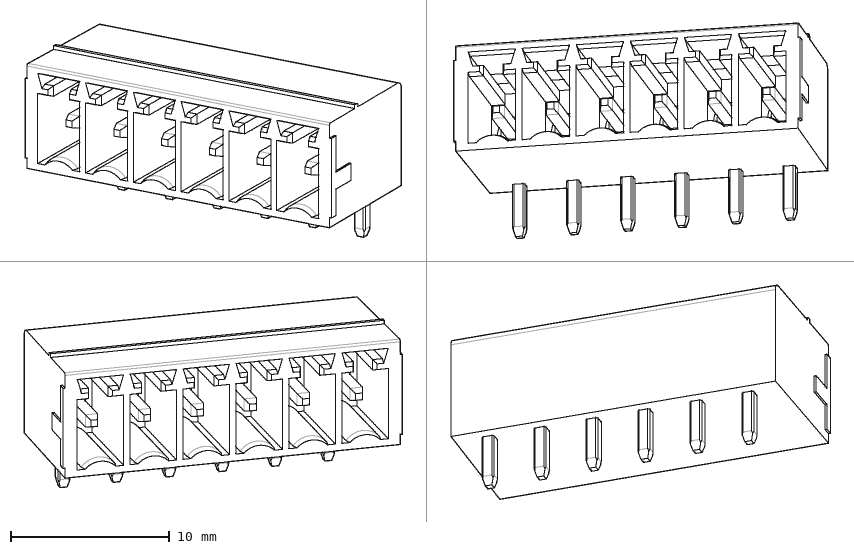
import cadquery as cq
import math

CONTACTS = 6
PITCH = 3.5
TOTAL_WIDTH = 22.4
DEPTH = 9.2
HEIGHT = 7.0
SIDE_DRAFT = 0.9

TAB_HEIGHT = 0.13
FRONT_WIDTH = TOTAL_WIDTH - 2 * TAB_HEIGHT
BACK_FILLET = 0.5
FRONT_FILLET = 0.13
RIDGE_FRONT = 3.23
RIDGE_WIDTH = 0.45
RIDGE_HEIGHT = 0.25
RIDGE_FILLET = 0.22
TAB_BOTTOM = 0.67
TAB_TOP = 6.0
TAB_DEPTH = 0.6
STEM_DEPTH = 2.5
STEM_HEIGHT = 1.15

PIN_Z = 3.0
PIN_SIZE = 0.8
PIN_TIP_Y = 1.3
LEG_Y = 8.05
LEG_BOTTOM = -3.4
LEG_CHAMFER = 0.11
TIP_SIZE = 0.45
TIP_LENGTH = 0.6

CAVITY_WIDTH = 3.07
CAVITY_DEPTH = 6.72
FLOOR = 0.47
LEAD_DEPTH = 0.45
LEAD_OFFSET = 0.15
MOUTH_CEILING = 5.15
LIP_TOP = 5.53
NECK_WIDTH = 1.6
INNER_CEILING = MOUTH_CEILING - LEAD_OFFSET
INNER_LIP_TOP = LIP_TOP + LEAD_OFFSET
INNER_NECK_WIDTH = NECK_WIDTH - 2 * LEAD_OFFSET

SLOT_CEILING = 6.5
INNER_SLOT_CEILING = SLOT_CEILING - LEAD_OFFSET
SLOT_TOP_WIDTH = 3.05
SLOT_BOTTOM_WIDTH = 2.46
SLOT_DEPTH = 4.48

RIB_RADIUS = 1.4
RIB_MOUTH_TOP = 0.9
RIB_INNER_TOP = 1.03

COLLAR_LENGTH = 0.31
COLLAR_BASE_RADIUS = 1.15
COLLAR_TIP_RADIUS = 0.85

contact_positions = [(i - (CONTACTS - 1) / 2) * PITCH for i in range(CONTACTS)]


def drafted_plan(front_width):
    """Tall prism whose plan narrows from the front to the back by the side draft."""
    front = front_width / 2
    back = front - DEPTH * math.tan(math.radians(SIDE_DRAFT))
    outline = [(-front, 0), (front, 0), (back, DEPTH), (-back, DEPTH)]
    return cq.Workplane("XY").polyline(outline).close().extrude(HEIGHT + RIDGE_HEIGHT)


def across_box(y0, y1, z0, z1):
    """Box over the whole width, between two depths and two heights."""
    base = cq.Workplane("XY", origin=(0, y0, z0))
    return base.box(TOTAL_WIDTH, y1 - y0, z1 - z0, centered=(True, False, False))


def housing_shell():
    """Solid outside shape: rounded block, ridge on top and T-shaped side tabs."""
    block = across_box(0, DEPTH, 0, HEIGHT)
    block = block.edges(">Y and >Z").fillet(BACK_FILLET)
    block = block.edges("<Y and >Z").fillet(FRONT_FILLET)

    ridge = across_box(RIDGE_FRONT, RIDGE_FRONT + RIDGE_WIDTH, HEIGHT, HEIGHT + RIDGE_HEIGHT)
    ridge = ridge.edges(">Y and >Z").fillet(RIDGE_FILLET)
    body = block.union(ridge).intersect(drafted_plan(FRONT_WIDTH))

    flange = across_box(0, TAB_DEPTH, TAB_BOTTOM, TAB_TOP)
    stem = across_box(0, STEM_DEPTH, PIN_Z - STEM_HEIGHT / 2, PIN_Z + STEM_HEIGHT / 2)
    tabs = flange.union(stem).intersect(drafted_plan(TOTAL_WIDTH))
    return body.union(tabs)


def trapezoid(bottom, bottom_width, top, top_width):
    """Corner points, in X and Z, of a symmetric trapezoid."""
    return [
        (-bottom_width / 2, bottom),
        (bottom_width / 2, bottom),
        (top_width / 2, top),
        (-top_width / 2, top),
    ]


def prism(outline, depth):
    """Extrude an X-Z outline from the mating face into the housing."""
    return cq.Workplane("XZ").polyline(outline).close().extrude(-depth)


def lead_in(mouth, inner):
    """Sloped mouth between the outline at the mating face and the inner outline."""
    return (
        cq.Workplane("XZ").polyline(mouth).close()
        .workplane(offset=-LEAD_DEPTH).polyline(inner).close()
        .loft(ruled=True)
    )


def main_recess():
    """Rectangular recess that takes the plug, with a sloped ceiling at its mouth."""
    inner = trapezoid(FLOOR, CAVITY_WIDTH, INNER_CEILING, CAVITY_WIDTH)
    mouth = trapezoid(FLOOR, CAVITY_WIDTH, MOUTH_CEILING, CAVITY_WIDTH)
    return prism(inner, CAVITY_DEPTH).union(lead_in(mouth, inner))


def neck():
    """Gap between the two lips, joining the main recess to the dovetail slot."""
    inner = trapezoid(PIN_Z, INNER_NECK_WIDTH, INNER_LIP_TOP, INNER_NECK_WIDTH)
    mouth = trapezoid(PIN_Z, NECK_WIDTH, INNER_LIP_TOP, NECK_WIDTH)
    return prism(inner, CAVITY_DEPTH).union(lead_in(mouth, inner))


def slot_width(z):
    """Width of the dovetail slot at a height, along its slanted sides."""
    rise = (z - LIP_TOP) / (SLOT_CEILING - LIP_TOP)
    return SLOT_BOTTOM_WIDTH + rise * (SLOT_TOP_WIDTH - SLOT_BOTTOM_WIDTH)


def dovetail_slot():
    """Slot above the lips, wider at the top, with a sloped floor and ceiling at its mouth."""
    inner = trapezoid(
        INNER_LIP_TOP, slot_width(INNER_LIP_TOP), INNER_SLOT_CEILING, slot_width(INNER_SLOT_CEILING)
    )
    mouth = trapezoid(LIP_TOP, SLOT_BOTTOM_WIDTH, SLOT_CEILING, SLOT_TOP_WIDTH)
    return prism(inner, SLOT_DEPTH).union(lead_in(mouth, inner))


def rib_section(plane, top):
    """Circular segment that stands on the cavity floor."""
    half = math.sqrt(RIB_RADIUS**2 - (RIB_RADIUS - (top - FLOOR)) ** 2)
    return plane.moveTo(-half, FLOOR).threePointArc((0, top), (half, FLOOR)).close()


def floor_rib():
    """Rounded rib along the cavity floor, lower at the mouth."""
    at_mouth = rib_section(cq.Workplane("XZ"), RIB_MOUTH_TOP)
    ramp = rib_section(at_mouth.workplane(offset=-LEAD_DEPTH), RIB_INNER_TOP).loft(ruled=True)
    inside = cq.Workplane("XZ", origin=(0, LEAD_DEPTH, 0))
    return rib_section(inside, RIB_INNER_TOP).extrude(LEAD_DEPTH - CAVITY_DEPTH).union(ramp)


def collar():
    """Cone around the pin, narrowing from the back wall toward the mouth."""
    return (
        cq.Workplane("XZ", origin=(0, CAVITY_DEPTH, PIN_Z)).circle(COLLAR_BASE_RADIUS)
        .workplane(offset=COLLAR_LENGTH).circle(COLLAR_TIP_RADIUS)
        .loft()
    )


def make_cavity():
    """Everything removed from the housing in front of one contact."""
    space = main_recess().union(neck()).union(dovetail_slot())
    return space.cut(floor_rib()).cut(collar())


def tapered_bar(plane, length):
    """Square bar along the plane's normal, ending in a tapered tip."""
    shank = plane.rect(PIN_SIZE, PIN_SIZE).extrude(length - TIP_LENGTH)
    tip = (
        shank.faces(cq.selectors.DirectionMinMaxSelector(plane.plane.zDir)).workplane()
        .rect(PIN_SIZE, PIN_SIZE)
        .workplane(offset=TIP_LENGTH).rect(TIP_SIZE, TIP_SIZE)
        .loft(ruled=True, combine=False)
    )
    return shank.union(tip)


def make_pin():
    """One L-shaped contact: horizontal arm toward the mouth and a leg pointing down."""
    arm_start = LEG_Y + PIN_SIZE / 2
    arm = tapered_bar(cq.Workplane("XZ", origin=(0, arm_start, PIN_Z)), arm_start - PIN_TIP_Y)

    leg_plane = cq.Workplane("XY", origin=(0, LEG_Y, PIN_Z)).transformed(rotate=(180, 0, 0))
    leg = tapered_bar(leg_plane, PIN_Z - LEG_BOTTOM)
    chamfered_bar = (
        leg_plane.rect(PIN_SIZE, PIN_SIZE).extrude(PIN_Z - LEG_BOTTOM).edges("|Z").chamfer(LEG_CHAMFER)
    )
    return arm.union(leg.intersect(chamfered_bar))


def make_housing(pins):
    """Housing with one cavity per contact and a fitting passage for every pin."""
    housing = housing_shell()
    cavity = make_cavity()
    for x in contact_positions:
        housing = housing.cut(cavity.translate((x, 0, 0)))
    for pin in pins:
        housing = housing.cut(pin)
    return housing


pin = make_pin()
contact_pins = [pin.translate((x, 0, 0)) for x in contact_positions]
housing = make_housing(contact_pins)

pin_solids = [contact.solids().val() for contact in contact_pins]
result = cq.Compound.makeCompound([housing.solids().val(), *pin_solids])